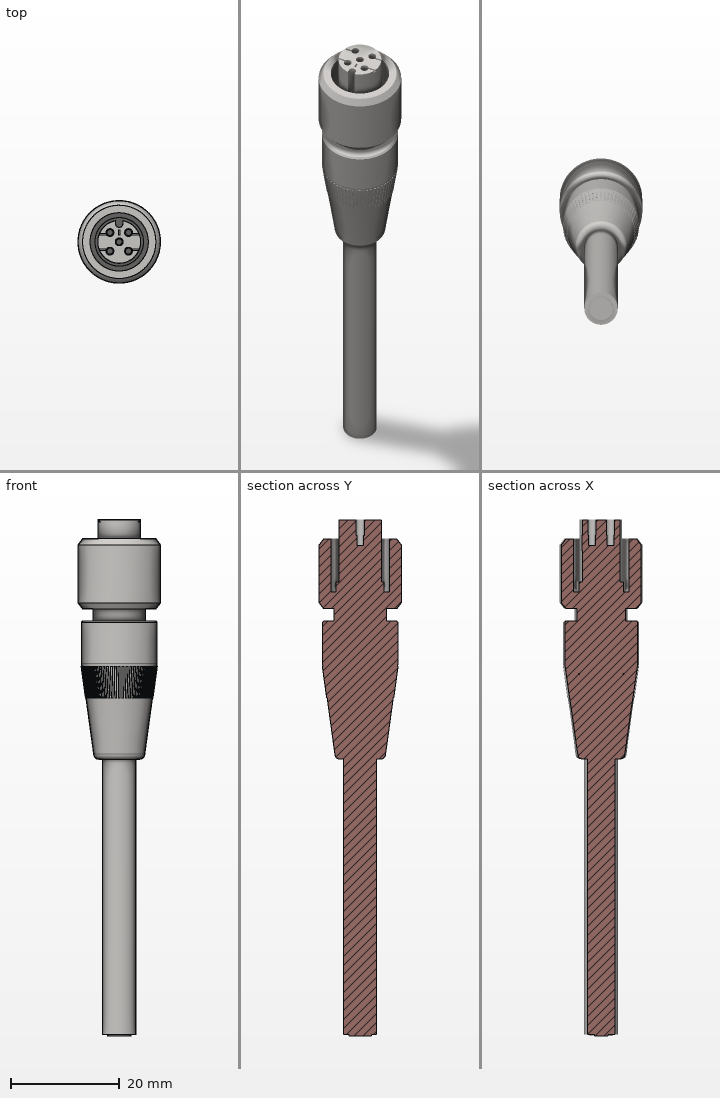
import cadquery as cq
import math

total_length = 95.1

cable_diameter = 6.2
cable_core_diameter = 4.3
cable_core_length = 0.3

grip_bottom = 51.0
grip_tail_diameter = 9.4
grip_tail_fillet = 0.95
grip_cone_top = 68.6
grip_head_diameter = 14.0
grip_head_top = 76.5
grip_head_chamfer = 0.3

rib_count = 60
rib_bottom = 62.3
rib_top = 68.1
rib_height = 0.1
rib_root_depth = 0.2
rib_half_width = 0.25

neck_diameter = 9.7

nut_diameter = 15.2
nut_bottom = 78.7
nut_top = 91.6
nut_chamfer_length = 1.1
nut_chamfer_depth = 0.9
nut_bore_diameter = 10.75
nut_floor = 81.8
sleeve_diameter = 8.9
sleeve_height = 1.9

insert_diameter = 7.9
socket_offset = 1.7
socket_entry_diameter = 1.4
socket_entry_depth = 2.9
socket_diameter = 1.1
socket_depth = 4.8

key_width = 1.3
key_bottom_y = 2.7

mark_width = 0.3
mark_length = 0.95
mark_center_y = 1.7
relief_offset_y = 1.4
face_mark_depth = 0.5

grip_tail_start = grip_bottom + grip_tail_fillet
cone_slope = (grip_head_diameter - grip_tail_diameter) / 2 / (grip_cone_top - grip_tail_start)


def cone_radius(z):
    """Radius of the grip cone at height z."""
    return grip_tail_diameter / 2 + cone_slope * (z - grip_tail_start)


def cylinder(diameter, bottom, top):
    return cq.Workplane("XY").workplane(offset=bottom).circle(diameter / 2).extrude(top - bottom)


def make_cable():
    """Cable jacket with the core standing out slightly at the lower end."""
    core = cylinder(cable_core_diameter, 0, grip_bottom)
    jacket = cylinder(cable_diameter, cable_core_length, grip_bottom)
    return core.union(jacket)


def make_grip():
    """Turned grip body, revolved about Z."""
    head_radius = grip_head_diameter / 2
    tail_radius = grip_tail_diameter / 2
    arc_step = grip_tail_fillet * (1 - math.sqrt(0.5))
    profile = (
        cq.Workplane("XZ")
        .moveTo(0, grip_bottom)
        .lineTo(tail_radius - grip_tail_fillet, grip_bottom)
        .threePointArc((tail_radius - arc_step, grip_bottom + arc_step), (tail_radius, grip_tail_start))
        .lineTo(head_radius, grip_cone_top)
        .lineTo(head_radius, grip_head_top - grip_head_chamfer)
        .lineTo(head_radius - grip_head_chamfer, grip_head_top)
        .lineTo(0, grip_head_top)
        .close()
    )
    return profile.revolve(360, (0, 0, 0), (0, 1, 0))


def rib_outline(surface_radius):
    """Ring of square ribs rooted just below the cone surface."""
    points = []
    pitch = 2 * math.pi / rib_count
    root_radius = surface_radius - rib_root_depth
    tip_radius = surface_radius + rib_height
    for index in range(rib_count):
        for fraction, radius in (
            (-rib_half_width, root_radius),
            (-rib_half_width, tip_radius),
            (rib_half_width, tip_radius),
            (rib_half_width, root_radius),
        ):
            angle = (index + fraction) * pitch
            points.append((radius * math.cos(angle), radius * math.sin(angle)))
    return points


def make_ribs():
    """Ribs that follow the cone."""
    return (
        cq.Workplane("XY")
        .workplane(offset=rib_bottom)
        .polyline(rib_outline(cone_radius(rib_bottom)))
        .close()
        .workplane(offset=rib_top - rib_bottom)
        .polyline(rib_outline(cone_radius(rib_top)))
        .close()
        .loft(ruled=True)
    )


def make_nut():
    """Chamfered nut with an open bore and a short sleeve on the bore floor."""
    radius = nut_diameter / 2
    nut = (
        cq.Workplane("XZ")
        .moveTo(0, nut_bottom)
        .lineTo(radius - nut_chamfer_depth, nut_bottom)
        .lineTo(radius, nut_bottom + nut_chamfer_length)
        .lineTo(radius, nut_top - nut_chamfer_length)
        .lineTo(radius - nut_chamfer_depth, nut_top)
        .lineTo(0, nut_top)
        .close()
        .revolve(360, (0, 0, 0), (0, 1, 0))
    )
    bore = cylinder(nut_bore_diameter, nut_floor, nut_top)
    sleeve = cylinder(sleeve_diameter, nut_floor, nut_floor + sleeve_height)
    return nut.cut(bore).union(sleeve)


def face_plane(depth):
    """Workplane below the insert face by the given depth."""
    return cq.Workplane("XY").workplane(offset=total_length - depth)


def make_insert():
    """Insert with five stepped sockets, a key notch and shallow face marks."""
    insert = cylinder(insert_diameter, nut_floor, total_length)
    corners = [(side_x, side_y) for side_x in (-1, 1) for side_y in (-1, 1)]

    centers = [(0, 0)]
    for side_x, side_y in corners:
        centers.append((side_x * socket_offset, side_y * socket_offset))
    for diameter, depth in (
        (socket_entry_diameter, socket_entry_depth),
        (socket_diameter, socket_depth),
    ):
        insert = insert.cut(face_plane(depth).pushPoints(centers).circle(diameter / 2).extrude(depth))

    key_length = insert_diameter
    key_center_y = key_bottom_y + key_length / 2
    key_depth = total_length - nut_floor - sleeve_height
    key = face_plane(key_depth).center(0, key_center_y).slot2D(key_length, key_width, 90).extrude(key_depth)
    insert = insert.cut(key)

    mark = face_plane(face_mark_depth).center(0, mark_center_y).rect(mark_width, mark_length)
    insert = insert.cut(mark.extrude(face_mark_depth))

    relief_length = insert_diameter / 2 - socket_offset
    for side_x, side_y in corners:
        relief_center_x = side_x * (socket_offset + relief_length / 2)
        relief_center_y = side_y * relief_offset_y
        relief = face_plane(face_mark_depth).center(relief_center_x, relief_center_y)
        insert = insert.cut(relief.rect(relief_length, mark_width).extrude(face_mark_depth))
    return insert


neck = cylinder(neck_diameter, grip_head_top, nut_bottom)
result = make_cable()
for section in (make_grip(), make_ribs(), neck, make_nut(), make_insert()):
    result = result.union(section)